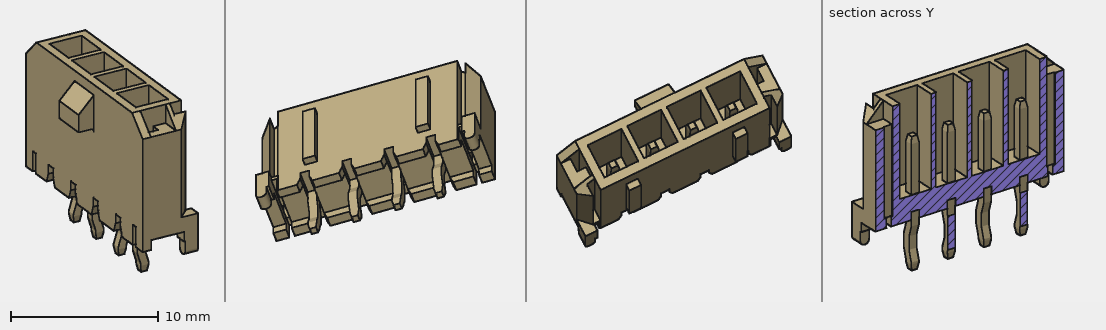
import cadquery as cq


length = 15.65
height = 9.9
depth = 3.87
end_width = 1.41
socket_length = length - 2 * end_width
ledge_z = height - end_width
half_length = length / 2
half_socket = socket_length / 2

contact_count = 4
pitch = 3.0
contact_y = 1.92
cavity_width = 2.57
cavity_depth = 2.54
cavity_floor_z = 2.66
pin_width = 0.64
pin_end_width = 0.45
pin_top_z = 7.05
pin_bottom_z = -3.18
pin_taper = 0.52
kink_offset = 0.27
kink_levels = (0.25, -0.63, -1.65, -2.5)

front_wall = 0.64
ledge_back_y = 2.63
ear_chamfer = 0.83
rear_notch_y = 2.96
rear_web_y = 3.83
well_width = 0.67
well_back_y = 1.65

foot_width = 0.92
foot_top_z = 1.88
foot_back_y = 4.37
peg_width = 0.74
peg_front_y = 3.35
peg_bottom_z = -1.08

recess_front_y = 0.69
recess_back_y = 3.25
recess_height = 0.74
slot_width = 0.39
slot_height = 1.52
notch_height = 1.36
flare_height = 0.67
flare_width = 1.1

latch_width = 2.58
latch_reach = 1.2
latch_top_z = 9.12
latch_bottom_z = 6.6
latch_fillet = 0.25

rib_width = 0.89
rib_spacing = 8.09
rib_bottom_z = 2.22
rib_top_z = 8.2

contact_xs = [(i - (contact_count - 1) / 2) * pitch for i in range(contact_count)]


def block(x0, x1, y0, y1, z0, z1):
    """Box between two opposite corners."""
    return cq.Workplane("XY").box(x1 - x0, y1 - y0, z1 - z0, centered=False).translate((x0, y0, z0))


def both_ends(shape):
    """The shape together with its mirror image across X = 0."""
    return shape.union(shape.mirror("YZ"))


def along_y(outline, y0, y1):
    """Closed XZ outline extruded from y0 to y1."""
    return outline.extrude(y0 - y1).translate((0, y0, 0))


def housing():
    """Socket block and end towers with sloped tops, before any cavity is cut."""
    outline = cq.Workplane("XZ").polyline([
        (-half_length, 0),
        (half_length, 0),
        (half_length, ledge_z),
        (half_socket, height),
        (-half_socket, height),
        (-half_length, ledge_z),
    ]).close()
    return along_y(outline, 0, depth)


def tower_cuts():
    """Material removed from the left end tower."""
    left = -half_length
    inner = -half_socket
    ledge = block(left, inner, front_wall, ledge_back_y, ledge_z, height)
    well = block(inner - well_width, inner, front_wall, well_back_y, slot_height, ledge_z)
    ear = (
        cq.Workplane("XY", origin=(0, 0, foot_top_z))
        .polyline([(left, depth - ear_chamfer), (left + ear_chamfer, depth), (left, depth)])
        .close()
        .extrude(height - foot_top_z)
    )
    rear_notch = block(left + ear_chamfer, inner, rear_notch_y, depth, foot_top_z, height)
    rear_web = block(left + foot_width, inner, rear_web_y, depth, 0, foot_top_z)
    slot_x = left + foot_width
    slot = block(slot_x, slot_x + slot_width, 0, depth, 0, slot_height)
    return ledge.union(well).union(ear).union(rear_notch).union(rear_web).union(slot)


def foot():
    """Left rear foot with its round-nosed board peg."""
    left = -half_length
    pad = block(left, left + foot_width, recess_back_y, foot_back_y, 0, foot_top_z)
    radius = peg_width / 2
    outline = (
        cq.Workplane("XZ")
        .moveTo(left, 0)
        .lineTo(left, peg_bottom_z + radius)
        .threePointArc((left + radius, peg_bottom_z), (left + peg_width, peg_bottom_z + radius))
        .lineTo(left + peg_width, 0)
        .close()
    )
    return pad.union(along_y(outline, peg_front_y, foot_back_y))


def cavity(x):
    """Square socket around one contact."""
    return block(
        x - cavity_width / 2, x + cavity_width / 2,
        contact_y - cavity_depth / 2, contact_y + cavity_depth / 2,
        cavity_floor_z, height,
    )


def pin_notch(x):
    """Notch across the underside at one contact, flared at its mouth."""
    half = pin_width / 2
    half_flare = flare_width / 2
    outline = cq.Workplane("XZ").polyline([
        (x - half_flare, 0),
        (x - half, flare_height),
        (x - half, notch_height),
        (x + half, notch_height),
        (x + half, flare_height),
        (x + half_flare, 0),
    ]).close()
    return along_y(outline, 0, depth)


def pin_tip(x, base_z, end_z):
    """Square taper narrowing from the pin shank at base_z to the blunt end at end_z."""
    return (
        cq.Workplane("XY", origin=(x, contact_y, base_z))
        .rect(pin_width, pin_width)
        .workplane(offset=end_z - base_z)
        .rect(pin_end_width, pin_end_width)
        .loft(ruled=True)
    )


def pin(x, kink):
    """Square contact, its tail kinked sideways in Y by the signed amount `kink`."""
    shank_top_z = pin_top_z - pin_taper
    shank_bottom_z = pin_bottom_z + pin_taper
    bend_start, kink_start, kink_end, bend_end = kink_levels
    path = [
        (0, shank_top_z),
        (0, bend_start),
        (kink, kink_start),
        (kink, kink_end),
        (0, bend_end),
        (0, shank_bottom_z),
    ]
    half = pin_width / 2
    front_edge = [(contact_y + y - half, z) for y, z in path]
    rear_edge = [(contact_y + y + half, z) for y, z in path]
    shank = (
        cq.Workplane("YZ", origin=(x - half, 0, 0))
        .polyline(front_edge + rear_edge[::-1])
        .close()
        .extrude(pin_width)
    )
    top_tip = pin_tip(x, shank_top_z, pin_top_z)
    bottom_tip = pin_tip(x, shank_bottom_z, pin_bottom_z)
    return shank.union(top_tip).union(bottom_tip)


def latch():
    """Ramp on the front face, blended into the face by a concave fillet below."""
    arc_step = latch_fillet * (1 - 0.5 ** 0.5)
    return (
        cq.Workplane("YZ", origin=(-latch_width / 2, 0, 0))
        .moveTo(0, latch_top_z)
        .lineTo(-latch_reach, latch_top_z - latch_reach)
        .lineTo(-latch_reach, latch_bottom_z)
        .lineTo(-latch_fillet, latch_bottom_z)
        .threePointArc((-arc_step, latch_bottom_z - arc_step), (0, latch_bottom_z - latch_fillet))
        .close()
        .extrude(latch_width)
    )


def rib():
    """Left vertical rib on the rear face."""
    x = -rib_spacing / 2
    return block(x - rib_width / 2, x + rib_width / 2, depth, foot_back_y, rib_bottom_z, rib_top_z)


underside_recess = block(-half_length, half_length, recess_front_y, recess_back_y, 0, recess_height)

result = housing().cut(both_ends(tower_cuts())).cut(underside_recess)
for contact_x in contact_xs:
    result = result.cut(cavity(contact_x)).cut(pin_notch(contact_x))

result = result.union(both_ends(foot())).union(both_ends(rib())).union(latch())
for index, contact_x in enumerate(contact_xs):
    direction = 1 if index % 2 == 0 else -1
    result = result.union(pin(contact_x, direction * kink_offset))